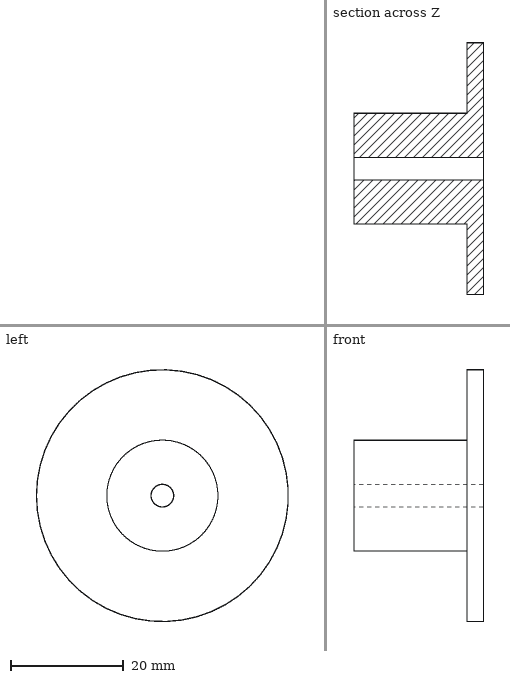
import cadquery as cq

flange_diameter = 44.7
flange_thickness = 3.0
hub_diameter = 19.7
bore_diameter = 4.0
total_length = 23.0

hub_length = total_length - flange_thickness

hub = cq.Workplane("YZ").circle(hub_diameter / 2).extrude(hub_length)

flange = (
    cq.Workplane("YZ", origin=(hub_length, 0, 0))
    .circle(flange_diameter / 2)
    .extrude(flange_thickness)
)

bore = cq.Workplane("YZ").circle(bore_diameter / 2).extrude(total_length)

result = hub.union(flange).cut(bore)